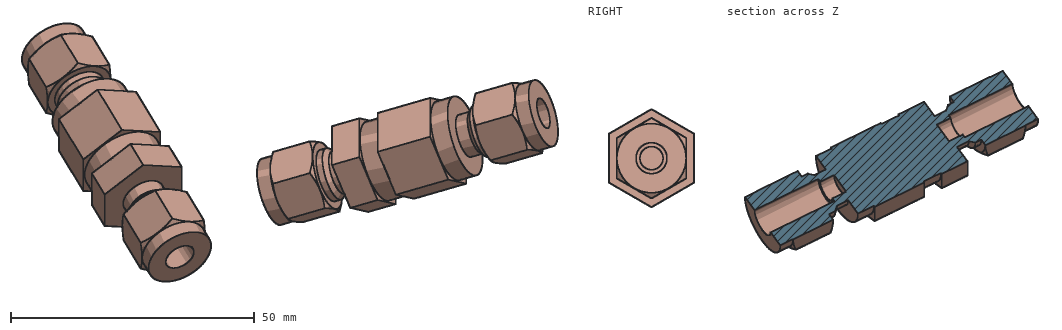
import cadquery as cq
import math

total_length = 61.7
nut_flats = 14.3
nut_collar_diameter = 14.2
nut_collar_length = 3.0
nut_end = 12.7
nut_chamfer_angle = 30.0

flange_diameter = 11.05
neck_diameter = 9.1
neck_end = 18.5
flange_end = 14.15
flange_slope = (flange_diameter - neck_diameter) / 2

body_flats = 17.45
body_collar_diameter = 16.9
body_start = 17.8
long_hex_start = 21.6
long_hex_end = 33.5
short_hex_start = 37.65
short_hex_end = 43.9

tube_diameter = 6.35
tube_depth = 15.25
bore_diameter = 4.75
bore_depth = 18.5


def across_corners(flats):
    return flats / math.cos(math.radians(30))


def cylinder(start, end, diameter):
    return cq.Workplane("YZ", origin=(start, 0, 0)).circle(diameter / 2).extrude(end - start)


def hexagon(start, end, flats):
    """Hexagonal prism along X with corners pointing up and down."""
    return (
        cq.Workplane("YZ", origin=(start, 0, 0))
        .transformed(rotate=(0, 0, 90))
        .polygon(6, across_corners(flats))
        .extrude(end - start)
    )


def compression_nut():
    """Nut at the -X end, with its hexagon corners turned conically at both ends."""
    corner_radius = across_corners(nut_flats) / 2
    collar_radius = nut_collar_diameter / 2
    chamfer_length = (corner_radius - collar_radius) * math.tan(math.radians(nut_chamfer_angle))
    turned_envelope = (
        cq.Workplane("XY")
        .moveTo(nut_collar_length, 0)
        .lineTo(nut_collar_length, collar_radius)
        .lineTo(nut_collar_length + chamfer_length, corner_radius)
        .lineTo(nut_end - chamfer_length, corner_radius)
        .lineTo(nut_end, collar_radius)
        .lineTo(nut_end, 0)
        .close()
        .revolve(360, (0, 0, 0), (1, 0, 0))
    )
    hex_part = hexagon(nut_collar_length, nut_end, nut_flats).intersect(turned_envelope)
    return cylinder(0, nut_collar_length, nut_collar_diameter).union(hex_part)


def end_stub():
    """Flange behind the nut, sloping at 45 degrees down to the neck."""
    flange_radius = flange_diameter / 2
    neck_radius = neck_diameter / 2
    return (
        cq.Workplane("XY")
        .moveTo(nut_end, 0)
        .lineTo(nut_end, flange_radius)
        .lineTo(flange_end, flange_radius)
        .lineTo(flange_end + flange_slope, neck_radius)
        .lineTo(neck_end, neck_radius)
        .lineTo(neck_end, 0)
        .close()
        .revolve(360, (0, 0, 0), (1, 0, 0))
    )


def end_bore():
    return cylinder(0, tube_depth, tube_diameter).union(cylinder(tube_depth, bore_depth, bore_diameter))


def opposite(shape):
    return shape.mirror("YZ").translate((total_length, 0, 0))


def valve_body():
    return (
        cylinder(body_start, short_hex_start, body_collar_diameter)
        .union(hexagon(long_hex_start, long_hex_end, body_flats))
        .union(hexagon(short_hex_start, short_hex_end, body_flats))
    )


near_end = compression_nut().union(end_stub())
bore = end_bore()
fitting = valve_body().union(near_end).union(opposite(near_end))
fitting = fitting.cut(bore).cut(opposite(bore))
result = fitting.translate((-total_length / 2, 0, 0))